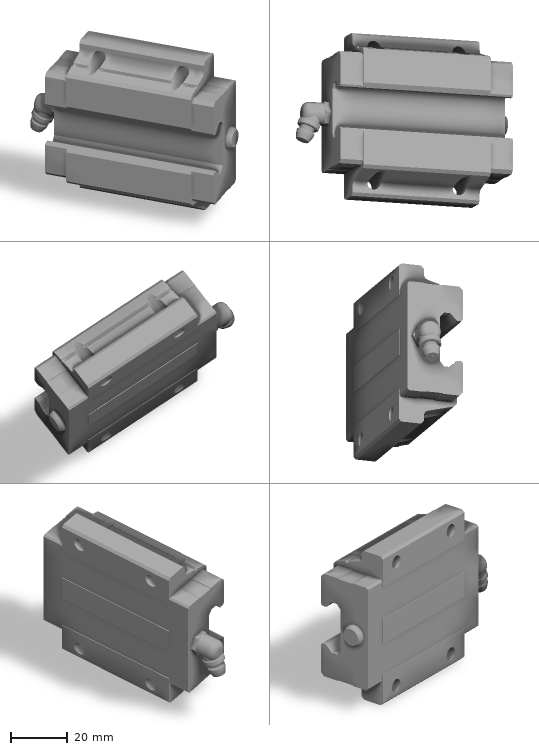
import cadquery as cq
import math


BLOCK_LENGTH = 47.8
BLOCK_WIDTH = 59.0
BLOCK_DEPTH = 22.0
BLOCK_CENTER_X = 4.6
BACK_Y = BLOCK_DEPTH / 2
FLANGE_THICKNESS = 9.5
BACK_CHAMFER = 0.95
FLANGE_CHAMFER = 1.1
SKIRT_ANGLE = 15
SKIRT_WIDTH = 41.2
SKIRT_CHAMFER = 1.2
FLANGE_FILLET = 2.0

RECESS_INNER_Z = 4.85
RECESS_OUTER_Z = 17.55
RECESS_DEPTH = 0.2

GROOVE_RADIUS = 0.8
GROOVE_DEPTH_FROM_BACK = 16.1
GROOVE_CENTER_Z = 23.2

HOLE_DIAMETER = 4.9
HOLE_SPACING_X = 32.0
HOLE_SPACING_Z = 48.9

CAP_LENGTH = 8.5
CAP_WIDTH = 40.7
CAP_BACK_OFFSET = RECESS_DEPTH
CAP_FRONT_OFFSET = 0.8
CAP_BACK_CHAMFER = 0.7
CAP_FRONT_CHAMFER = 1.3
CAP_RELIEF_START = 6.9
CAP_RELIEF_END = 13.55
CAP_RELIEF_DEPTH = 0.2

SLOT_FLOOR_DEPTH = 12.45
SLOT_FLOOR_HALF = 8.15
SLOT_WIDE_HALF = 10.0
SLOT_WIDE_START = 14.0
SLOT_WIDE_END = 16.4
SLOT_LIP_START = 18.9
SLOT_LIP_END = 20.7
SLOT_LIP_HALF = 7.45
SLOT_MOUTH_HALF = 9.1

FITTING_Y = 4.8
PLUG_DIAMETER = 8.3
PLUG_END_DIAMETER = 6.4
PLUG_LENGTH = 2.2

HEX_ACROSS_FLATS = 7.9
HEX_LENGTH = 1.9
HEX_CHAMFER = 0.3
ELBOW_DIAMETER = 7.8
ELBOW_LENGTH = 9.5
ELBOW_FILLET = 2.4

NIPPLE_ANGLE = 22.5
NIPPLE_PIVOT = 5.1
STUB_RADIUS = 3.5
COLLAR_RADIUS = 8.0 / 2
NECK_RADIUS = 5.5 / 2
HEAD_RADIUS = 6.6 / 2
HEAD_TAPER_RADIUS = 2.8
TIP_RADIUS = 2.35
BALL_RADIUS = 0.7
BALL_HEIGHT = 0.2
COLLAR_CHAMFER = 0.3
COLLAR_START = 3.6
COLLAR_END = 5.8
NECK_END = 7.1
HEAD_START = 7.5
HEAD_LAND_END = 7.75
HEAD_TAPER_START = 9.6
TIP_END = 10.9

CAP_FACE_X = BLOCK_LENGTH / 2 + CAP_LENGTH
LEFT_FACE_X = BLOCK_CENTER_X - CAP_FACE_X
RIGHT_FACE_X = BLOCK_CENTER_X + CAP_FACE_X


def along_x(half_outline, length):
    """Extrude an outline, given as (depth, z) for z > 0 and mirrored to z < 0, about the block centre."""
    upper = [(BACK_Y - depth, z) for depth, z in half_outline]
    lower = [(y, -z) for y, z in reversed(upper)]
    profile = cq.Workplane("YZ", origin=(BLOCK_CENTER_X - length / 2, 0, 0)).polyline(upper + lower).close()
    return profile.extrude(length)


def make_block():
    half_width = BLOCK_WIDTH / 2
    half_skirt = SKIRT_WIDTH / 2
    skirt_end_depth = BLOCK_DEPTH - SKIRT_CHAMFER
    skirt_end_z = half_skirt + SKIRT_CHAMFER
    slope_rise = (skirt_end_depth - FLANGE_THICKNESS) * math.tan(math.radians(SKIRT_ANGLE))
    corner_z = skirt_end_z + slope_rise
    block = along_x(
        [
            (0, half_width - BACK_CHAMFER),
            (BACK_CHAMFER, half_width),
            (FLANGE_THICKNESS - FLANGE_CHAMFER, half_width),
            (FLANGE_THICKNESS, half_width - FLANGE_CHAMFER),
            (FLANGE_THICKNESS, corner_z),
            (skirt_end_depth, skirt_end_z),
            (BLOCK_DEPTH, half_skirt),
        ],
        BLOCK_LENGTH,
    )
    for side in (1, -1):
        corner = (BLOCK_CENTER_X, BACK_Y - FLANGE_THICKNESS, side * corner_z)
        block = block.edges(cq.selectors.NearestToPointSelector(corner)).fillet(FLANGE_FILLET)
    return block


def mounting_recesses():
    recess = cq.Workplane("XY").box(BLOCK_LENGTH, RECESS_DEPTH, RECESS_OUTER_Z - RECESS_INNER_Z)
    center_y = BACK_Y - RECESS_DEPTH / 2
    center_z = (RECESS_INNER_Z + RECESS_OUTER_Z) / 2
    upper = recess.translate((BLOCK_CENTER_X, center_y, center_z))
    return upper.union(upper.mirror("XY"))


def reference_groove():
    """Round-bottomed groove over the full block length."""
    start_x = BLOCK_CENTER_X - BLOCK_LENGTH / 2
    return (
        cq.Workplane("YZ", origin=(start_x, BACK_Y - GROOVE_DEPTH_FROM_BACK, GROOVE_CENTER_Z))
        .circle(GROOVE_RADIUS)
        .extrude(BLOCK_LENGTH)
    )


def mounting_holes():
    return (
        cq.Workplane("XZ", origin=(BLOCK_CENTER_X, BACK_Y, 0))
        .rect(HOLE_SPACING_X, HOLE_SPACING_Z, forConstruction=True)
        .vertices()
        .circle(HOLE_DIAMETER / 2)
        .extrude(BLOCK_DEPTH)
    )


def make_caps():
    """One bar through the block; only its ends show, as the two end caps."""
    half_width = CAP_WIDTH / 2
    front = BLOCK_DEPTH - CAP_FRONT_OFFSET
    relief_z = half_width - CAP_RELIEF_DEPTH
    return along_x(
        [
            (CAP_BACK_OFFSET, half_width - CAP_BACK_CHAMFER),
            (CAP_BACK_OFFSET + CAP_BACK_CHAMFER, half_width),
            (CAP_RELIEF_START - CAP_RELIEF_DEPTH, half_width),
            (CAP_RELIEF_START + CAP_RELIEF_DEPTH, relief_z),
            (CAP_RELIEF_END, relief_z),
            (CAP_RELIEF_END, half_width),
            (front - CAP_FRONT_CHAMFER, half_width),
            (front, half_width - CAP_FRONT_CHAMFER),
        ],
        2 * CAP_FACE_X,
    )


def rail_slot():
    return along_x(
        [
            (SLOT_FLOOR_DEPTH, SLOT_FLOOR_HALF),
            (SLOT_WIDE_START, SLOT_WIDE_HALF),
            (SLOT_WIDE_END, SLOT_WIDE_HALF),
            (SLOT_LIP_START, SLOT_LIP_HALF),
            (SLOT_LIP_END, SLOT_LIP_HALF),
            (BLOCK_DEPTH, SLOT_MOUTH_HALF),
        ],
        2 * CAP_FACE_X,
    )


def make_plug():
    """Domed button: its side starts square to the cap and curves in to the flat end."""
    radius = PLUG_DIAMETER / 2
    end_radius = PLUG_END_DIAMETER / 2
    drop = radius - end_radius
    arc_radius = (PLUG_LENGTH**2 + drop**2) / (2 * drop)
    half_angle = math.asin(PLUG_LENGTH / arc_radius) / 2
    arc_middle = (arc_radius * math.sin(half_angle), radius - arc_radius * (1 - math.cos(half_angle)))
    return (
        cq.Workplane("XY", origin=(RIGHT_FACE_X, FITTING_Y, 0))
        .lineTo(0, radius)
        .threePointArc(arc_middle, (PLUG_LENGTH, end_radius))
        .lineTo(PLUG_LENGTH, 0)
        .close()
        .revolve(360, (0, 0, 0), (1, 0, 0))
    )


def make_elbow():
    face = cq.Workplane("YZ", origin=(LEFT_FACE_X, FITTING_Y, 0))
    corner_diameter = HEX_ACROSS_FLATS / math.cos(math.pi / 6)
    nut = face.polygon(6, corner_diameter).extrude(-HEX_LENGTH)
    nut_chamfer_body = face.circle(corner_diameter / 2).extrude(-HEX_LENGTH).faces("<X").chamfer(HEX_CHAMFER)
    arm = face.circle(ELBOW_DIAMETER / 2).extrude(-ELBOW_LENGTH).faces("<X").edges().fillet(ELBOW_FILLET)
    return nut.intersect(nut_chamfer_body).union(arm)


def make_nipple():
    """Turned about -Z below the pivot, then leaned toward -X."""
    turned = (
        cq.Workplane("XZ")
        .moveTo(0, 0)
        .lineTo(STUB_RADIUS, 0)
        .lineTo(STUB_RADIUS, -COLLAR_START)
        .lineTo(COLLAR_RADIUS - COLLAR_CHAMFER, -COLLAR_START)
        .lineTo(COLLAR_RADIUS, -COLLAR_START - COLLAR_CHAMFER)
        .lineTo(COLLAR_RADIUS, -COLLAR_END + COLLAR_CHAMFER)
        .lineTo(COLLAR_RADIUS - COLLAR_CHAMFER, -COLLAR_END)
        .lineTo(NECK_RADIUS, -COLLAR_END)
        .lineTo(NECK_RADIUS, -NECK_END)
        .lineTo(HEAD_RADIUS, -HEAD_START)
        .lineTo(HEAD_RADIUS, -HEAD_LAND_END)
        .tangentArcPoint((HEAD_TAPER_RADIUS, -HEAD_TAPER_START), relative=False)
        .lineTo(TIP_RADIUS, -TIP_END)
        .lineTo(BALL_RADIUS, -TIP_END)
        .lineTo(0, -TIP_END - BALL_HEIGHT)
        .close()
        .revolve(360, (0, 0, 0), (0, 1, 0))
    )
    leaned = turned.rotate((0, 0, 0), (0, 1, 0), NIPPLE_ANGLE)
    return leaned.translate((LEFT_FACE_X - NIPPLE_PIVOT, FITTING_Y, 0))


block = make_block().cut(mounting_recesses()).cut(reference_groove())
carriage = block.union(make_caps()).cut(mounting_holes()).cut(rail_slot())
result = carriage.union(make_plug()).union(make_elbow()).union(make_nipple())